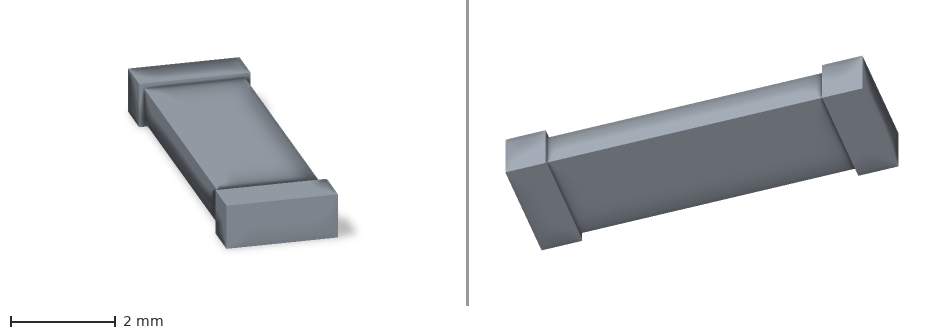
import cadquery as cq

length = 7.19
cap_width = 2.21
cap_height = 0.89

cap_length = 0.81
body_width = 2.005
body_height = 0.675
body_length = length - 2 * cap_length

band_length = 0.55
band_gap = 0.555
band_thickness = 0.07
band_center_x = -body_length / 2 + band_gap + band_length / 2


def make_cap(side):
    """Solid block against one end of the body; side is -1 (left) or +1 (right)."""
    center_x = side * (length - cap_length) / 2
    return cq.Workplane("XY").box(cap_length, cap_width, cap_height).translate((center_x, 0, 0))


def make_band():
    """Rectangular ring whose outer faces lie flush with the body."""
    outer = cq.Workplane("XY").box(band_length, body_width, body_height)
    core = cq.Workplane("XY").box(
        band_length,
        body_width - 2 * band_thickness,
        body_height - 2 * band_thickness,
    )
    return outer.cut(core).translate((band_center_x, 0, 0))


def make_body(band):
    """Flat bar with a groove that holds the band."""
    return cq.Workplane("XY").box(body_length, body_width, body_height).cut(band)


band = make_band()
body = make_body(band)
caps = [make_cap(side) for side in (-1, 1)]

result = cq.Compound.makeCompound(
    [body.solids().val(), band.solids().val(), *[cap.val() for cap in caps]]
)